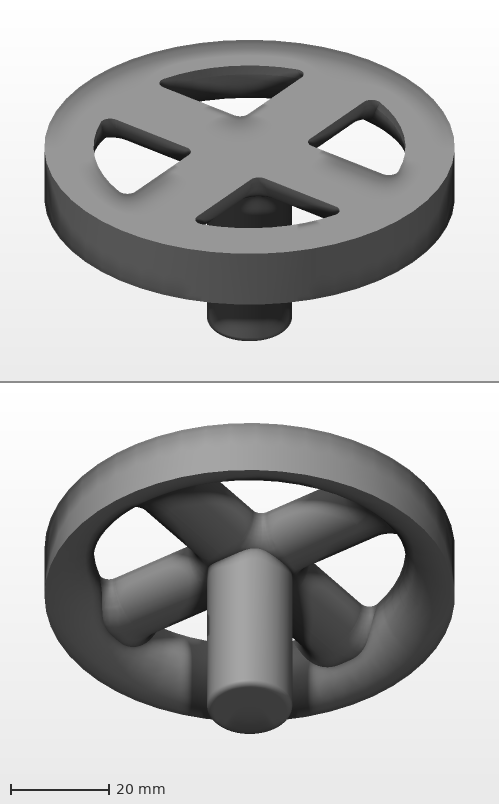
import cadquery as cq
import math

wheel_radius = 41.7
wheel_height = 12.1
window_radius = 31.7
rim_round = wheel_radius - window_radius
rim_wall = wheel_height - rim_round

spoke_width = 15.85
spoke_half = spoke_width / 2
spoke_depth = spoke_half
spoke_round = 7.8
window_corner = 2.0

stem_diameter = 17.35
spigot_diameter = 12.5
overall_height = 41.5
stem_end_round = 1.25
shoulder_depth = 5.8


def make_rim():
    """Ring with its lower inner corner rounded out to the rim's bottom edge."""
    arc_offset = rim_round * math.sqrt(0.5)
    arc_middle = (wheel_radius - arc_offset, -rim_wall - arc_offset)
    section = (
        cq.Workplane("XZ")
        .moveTo(window_radius, 0)
        .lineTo(wheel_radius, 0)
        .lineTo(wheel_radius, -wheel_height)
        .threePointArc(arc_middle, (window_radius, -rim_wall))
        .close()
    )
    return section.revolve(360, (0, 0, 0), (0, 1, 0))


def make_window():
    """Quarter-circle window between two spokes, with rounded corners."""
    reach = math.sqrt(window_radius**2 - spoke_half**2)
    arc_middle = window_radius * math.sqrt(0.5)
    return (
        cq.Workplane("XY")
        .moveTo(spoke_half, spoke_half)
        .lineTo(reach, spoke_half)
        .threePointArc((arc_middle, arc_middle), (spoke_half, reach))
        .close()
        .extrude(-spoke_depth)
        .edges("|Z")
        .fillet(window_corner)
    )


def make_spokes():
    """Disc pierced by four windows, rounded along the windows' lower edges."""
    spokes = cq.Workplane("XY").circle(wheel_radius).extrude(-spoke_depth)
    window = make_window()
    for quarter in range(4):
        spokes = spokes.cut(window.rotate((0, 0, 0), (0, 0, 1), 90 * quarter))
    underside = spokes.faces("<Z").val()
    window_edges = [edge for wire in underside.innerWires() for edge in wire.Edges()]
    return spokes.newObject(window_edges).fillet(spoke_round)


def make_stem():
    """Stem with its shoulder inside the hub and its spigot flush with the wheel's top face."""
    stem = (
        cq.Workplane("XY")
        .workplane(offset=-shoulder_depth)
        .circle(stem_diameter / 2)
        .extrude(shoulder_depth - overall_height)
        .faces("<Z")
        .edges()
        .fillet(stem_end_round)
    )
    spigot = cq.Workplane("XY").circle(spigot_diameter / 2).extrude(-shoulder_depth)
    return stem.union(spigot)


def make_wheel(stem):
    """Rim and spokes in one piece, with a stepped bore that matches the stem."""
    return make_rim().union(make_spokes()).cut(stem)


stem = make_stem()
wheel = make_wheel(stem)

result = cq.Compound.makeCompound([wheel.val(), stem.val()])